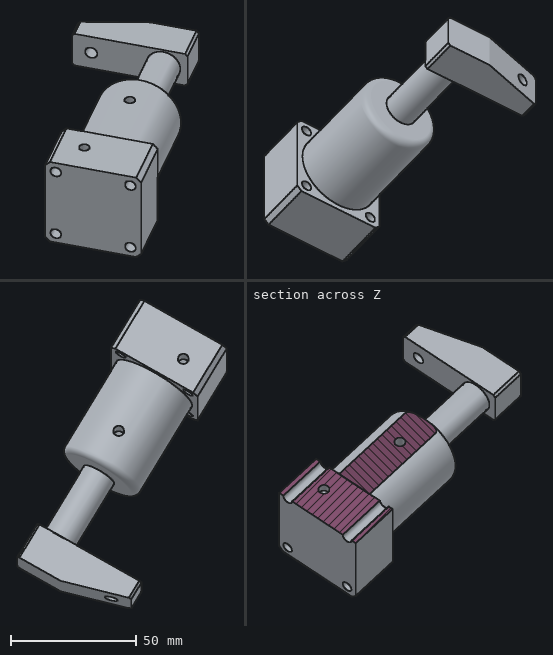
import cadquery as cq
import math

overall_length = 114.0
overall_width = 58.0

block_width = 40.0
block_length = 23.0
block_chamfer = 2.0
mount_hole_diameter = 4.5
mount_hole_spacing = 31.0

barrel_diameter = 35.0
barrel_length = 43.5
barrel_fillet = 3.0
barrel_end_y = block_length + barrel_length

arm_size = 16.0
arm_overhang = 10.0
arm_tip_depth = 8.0
arm_taper_length = 28.0
arm_chamfer = 1.0
arm_hole_diameter = 5.0
arm_hole_inset = 8.0
arm_tip_x = block_width / 2 - overall_width
arm_base_y = overall_length - arm_size

rod_diameter = 14.0
rod_length = arm_base_y - barrel_end_y

port_diameter = 4.2
port_depth = 8.0
drill_point_angle = 118.0
barrel_port_setback = 15.5
block_port_x = -7.5
block_port_y = 13.0


def drilled_port(x, y, surface_z):
    """Cutter for a blind hole going down from surface_z, with a conical bottom."""
    radius = port_diameter / 2
    point_depth = radius / math.tan(math.radians(drill_point_angle / 2))
    return (
        cq.Workplane("XZ")
        .moveTo(0, 0)
        .lineTo(radius, 0)
        .lineTo(radius, -port_depth)
        .lineTo(0, -port_depth - point_depth)
        .close()
        .revolve(360, (0, 0), (0, 1))
        .translate((x, y, surface_z))
    )


def make_block():
    """Square base with chamfered long edges, four mounting holes and a port."""
    block = (
        cq.Workplane("XZ")
        .rect(block_width, block_width)
        .extrude(-block_length)
        .edges("|Y")
        .chamfer(block_chamfer)
    )
    mount_holes = (
        cq.Workplane("XZ")
        .rect(mount_hole_spacing, mount_hole_spacing, forConstruction=True)
        .vertices()
        .circle(mount_hole_diameter / 2)
        .extrude(-block_length)
    )
    return block.cut(mount_holes).cut(drilled_port(block_port_x, block_port_y, block_width / 2))


def make_barrel():
    """Round barrel on the block, with a rounded front edge and a port."""
    barrel = (
        cq.Workplane("XZ", origin=(0, block_length, 0))
        .circle(barrel_diameter / 2)
        .extrude(-barrel_length)
        .faces(">Y")
        .edges()
        .fillet(barrel_fillet)
    )
    return barrel.cut(drilled_port(0, barrel_end_y - barrel_port_setback, barrel_diameter / 2))


def make_rod():
    """Plain rod between the barrel and the arm."""
    return (
        cq.Workplane("XZ", origin=(0, barrel_end_y, 0))
        .circle(rod_diameter / 2)
        .extrude(-rod_length)
    )


def make_arm():
    """Arm across the rod end, tapered toward its tip, with a hole near the tip."""
    arm = (
        cq.Workplane("XY", origin=(0, 0, -arm_size / 2))
        .moveTo(arm_tip_x, arm_base_y)
        .lineTo(arm_overhang, arm_base_y)
        .lineTo(arm_overhang, overall_length)
        .lineTo(arm_tip_x + arm_taper_length, overall_length)
        .lineTo(arm_tip_x, arm_base_y + arm_tip_depth)
        .close()
        .extrude(arm_size)
        .faces("<X or >X")
        .edges("|Y")
        .chamfer(arm_chamfer)
    )
    tip_hole = (
        cq.Workplane("XZ", origin=(arm_tip_x + arm_hole_inset, arm_base_y, 0))
        .circle(arm_hole_diameter / 2)
        .extrude(-arm_size)
    )
    return arm.cut(tip_hole)


block = make_block()
barrel = make_barrel()
rod = make_rod()
arm = make_arm()

result = cq.Compound.makeCompound([body.solids().val() for body in (block, barrel, rod, arm)])